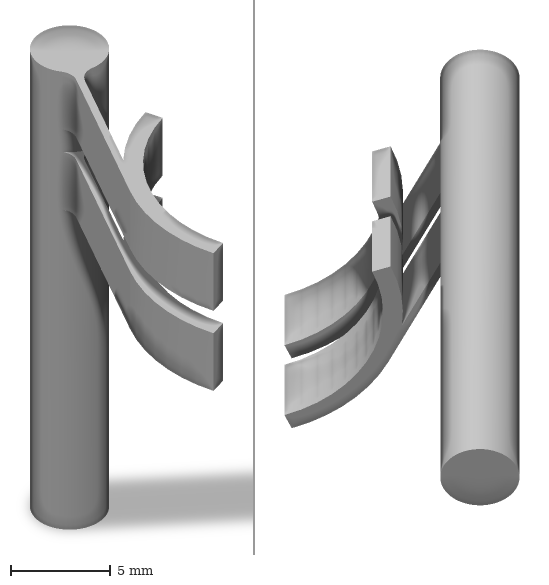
import cadquery as cq
import math

post_radius = 2.0
post_height = 28.6

clip_height = 3.6
clip_gap = 1.4
clip_count = 2

arm_thickness = 0.4
arm_back_y = 0.0
arm_front_y = arm_back_y - arm_thickness
root_fillet = 1.0

cradle_outer_radius = 8.87
cradle_thickness = 1.0
cradle_inner_radius = cradle_outer_radius - cradle_thickness
cradle_half_angle = math.radians(45)
cradle_x = 12.53
cradle_y = arm_front_y + cradle_outer_radius


def cradle_point(radius, angle):
    """Point on the cradle, with the angle measured from its lowest point."""
    return (
        cradle_x + radius * math.sin(angle),
        cradle_y - radius * math.cos(angle),
    )


def make_cradle():
    return (
        cq.Workplane("XY")
        .moveTo(*cradle_point(cradle_outer_radius, -cradle_half_angle))
        .threePointArc(
            cradle_point(cradle_outer_radius, 0),
            cradle_point(cradle_outer_radius, cradle_half_angle),
        )
        .lineTo(*cradle_point(cradle_inner_radius, cradle_half_angle))
        .threePointArc(
            cradle_point(cradle_inner_radius, 0),
            cradle_point(cradle_inner_radius, -cradle_half_angle),
        )
        .close()
        .extrude(clip_height)
    )


def fillet_arc(face_y, side):
    """Start, middle and end of a root fillet, from the post to an arm face.

    The side is +1 for the back face and -1 for the front face.
    """
    center_y = face_y + side * root_fillet
    center_distance = post_radius + root_fillet
    center_x = math.sqrt(center_distance**2 - center_y**2)
    post_share = post_radius / center_distance
    start = (center_x * post_share, center_y * post_share)
    end = (center_x, face_y)

    chord_x = (start[0] + end[0]) / 2 - center_x
    chord_y = (start[1] + end[1]) / 2 - center_y
    reach = root_fillet / math.hypot(chord_x, chord_y)
    middle = (center_x + chord_x * reach, center_y + chord_y * reach)
    return start, middle, end


def make_arm():
    back_start, back_middle, back_end = fillet_arc(arm_back_y, 1)
    front_start, front_middle, front_end = fillet_arc(arm_front_y, -1)
    return (
        cq.Workplane("XY")
        .moveTo(0, 0)
        .lineTo(*back_start)
        .threePointArc(back_middle, back_end)
        .lineTo(cradle_x, arm_back_y)
        .lineTo(cradle_x, arm_front_y)
        .lineTo(*front_end)
        .threePointArc(front_middle, front_start)
        .close()
        .extrude(clip_height)
    )


clip = make_arm().union(make_cradle())
result = cq.Workplane("XY").circle(post_radius).extrude(post_height)
for index in range(clip_count):
    clip_bottom = post_height - clip_height - index * (clip_height + clip_gap)
    result = result.union(clip.translate((0, 0, clip_bottom)))